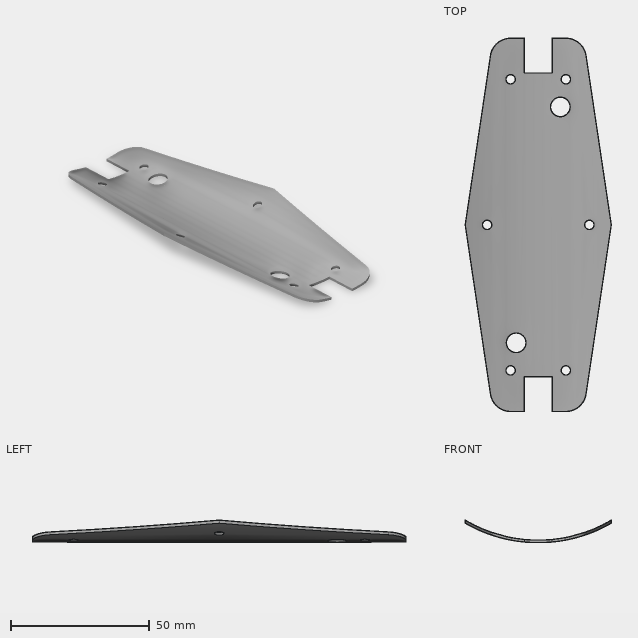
import cadquery as cq

length = 135.24
middle_width = 52.97
end_width = 32.8
corner_radius = 7.5

sheet_thickness = 1.0
inner_bend_radius = 52.0
outer_bend_radius = inner_bend_radius + sheet_thickness

notch_width = 10.0
notch_depth = 12.62

small_hole_diameter = 3.3
end_hole_x = 10.0
end_hole_y = 52.7
middle_hole_x = 18.5
large_hole_diameter = 7.0
large_hole_x = 8.0
large_hole_y = 42.7

cut_height = outer_bend_radius


def make_bent_sheet():
    """Tube around the bend axis, whose lower part is the bent sheet."""
    return (
        cq.Workplane("XZ")
        .center(0, outer_bend_radius)
        .circle(outer_bend_radius)
        .circle(inner_bend_radius)
        .extrude(length / 2, both=True)
    )


def make_plan_outline():
    """Vertical prism of the six-sided plan outline with rounded end corners."""
    half_length = length / 2
    half_middle = middle_width / 2
    half_end = end_width / 2
    outline = [
        (half_middle, 0),
        (half_end, half_length),
        (-half_end, half_length),
        (-half_middle, 0),
        (-half_end, -half_length),
        (half_end, -half_length),
    ]
    prism = cq.Workplane("XY").polyline(outline).close().extrude(cut_height)
    return prism.edges("|Z").edges("<Y or >Y").fillet(corner_radius)


def make_notches():
    """One rectangular notch block reaching in from each end."""
    return (
        cq.Workplane("XY")
        .pushPoints([(0, side * (length - notch_depth) / 2) for side in (-1, 1)])
        .rect(notch_width, notch_depth)
        .extrude(cut_height)
    )


def make_holes(diameter, centers):
    """Vertical cylinders for the holes at the given centers."""
    return cq.Workplane("XY").pushPoints(centers).circle(diameter / 2).extrude(cut_height)


small_hole_centers = [(x, y) for x in (-end_hole_x, end_hole_x) for y in (-end_hole_y, end_hole_y)]
small_hole_centers += [(-middle_hole_x, 0), (middle_hole_x, 0)]

large_hole_centers = [(large_hole_x, large_hole_y), (-large_hole_x, -large_hole_y)]

result = (
    make_bent_sheet()
    .intersect(make_plan_outline())
    .cut(make_notches())
    .cut(make_holes(small_hole_diameter, small_hole_centers))
    .cut(make_holes(large_hole_diameter, large_hole_centers))
)